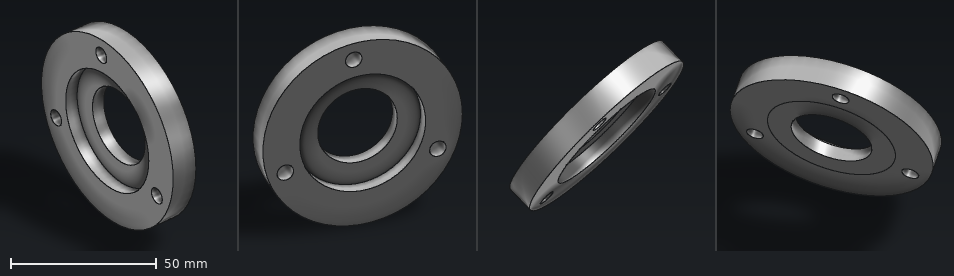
import cadquery as cq
import math

flange_diameter = 73.0
flange_thickness = 10.0
seat_diameter = 46.0

ring_bore_diameter = 29.0
ring_thickness = flange_thickness / 2

bolt_hole_diameter = 6.0
bolt_circle_radius = 30.0
bolt_hole_angles = [96.3, 199.5, 336.3]

back_y = flange_thickness / 2


def disc(diameter, thickness, x=0.0, z=0.0):
    """Solid disc along Y, with its rear face flush with the back of the flange."""
    back_plane = cq.Workplane("XZ", origin=(x, back_y, z))
    return back_plane.circle(diameter / 2).extrude(thickness)


def make_flange():
    """Outer disc with a through seat for the ring and the bolt holes."""
    flange = disc(flange_diameter, flange_thickness)
    flange = flange.cut(disc(seat_diameter, flange_thickness))
    for angle in bolt_hole_angles:
        x = bolt_circle_radius * math.cos(math.radians(angle))
        z = bolt_circle_radius * math.sin(math.radians(angle))
        flange = flange.cut(disc(bolt_hole_diameter, flange_thickness, x, z))
    return flange


def make_inner_ring():
    """Flat ring seated in the flange, flush with its back face."""
    ring = disc(seat_diameter, ring_thickness)
    return ring.cut(disc(ring_bore_diameter, ring_thickness))


flange = make_flange()
inner_ring = make_inner_ring()

result = cq.Compound.makeCompound([flange.val(), inner_ring.val()])